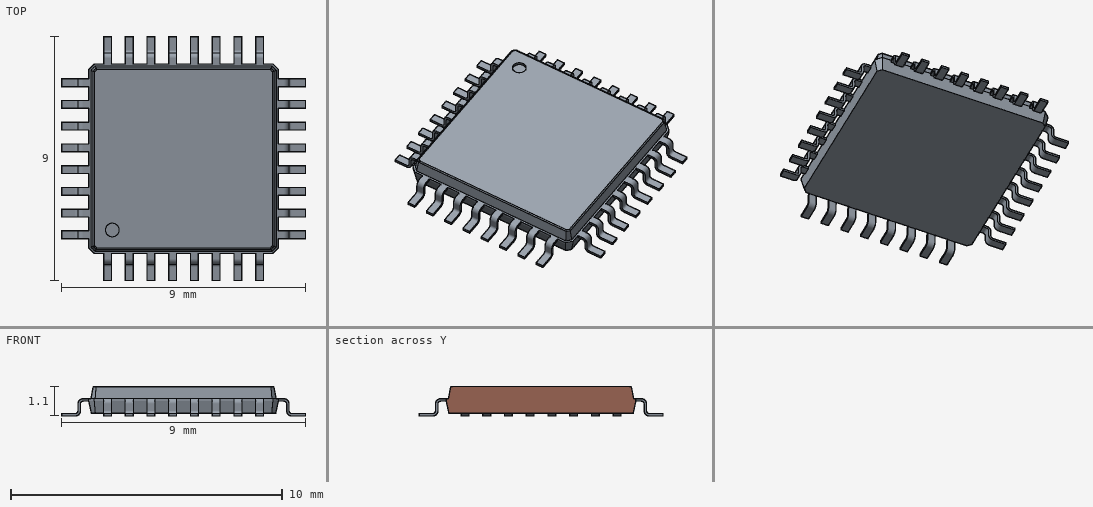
import cadquery as cq

overall_span = 9.0
overall_height = 1.1

body_width = 7.0
corner_chamfer = 0.21
standoff = 0.1
ledge_width = 0.08
upper_draft_inset = 0.08
lower_draft_inset = 0.1
top_bevel_width = 0.05
top_bevel_height = 0.03

leads_per_side = 8
lead_pitch = 0.8
lead_width = 0.3
lead_thickness = 0.1
lead_top = 0.65
foot_length = 0.5
bend_inner_radius = 0.1
lead_embed = 0.18

marker_diameter = 0.5
marker_depth = 0.1
marker_offset = 2.63

band_bottom = lead_top - lead_thickness
corner_shrink = 2 - 2**0.5


def body_outline(inset, z):
    """Closed wire of the chamfered square, offset inward evenly, at height z."""
    half = body_width / 2 - inset
    flat = half - (corner_chamfer - corner_shrink * inset)
    points = [
        (half, -flat),
        (half, flat),
        (flat, half),
        (-flat, half),
        (-half, flat),
        (-half, -flat),
        (-flat, -half),
        (flat, -half),
    ]
    return cq.Workplane("XY", origin=(0, 0, z)).polyline(points).close().val()


def body_section(bottom_inset, bottom_z, top_inset, top_z):
    """Straight-sided block between two body outlines."""
    outlines = [body_outline(bottom_inset, bottom_z), body_outline(top_inset, top_z)]
    return cq.Workplane(cq.Solid.makeLoft(outlines, True))


def make_body():
    bevel_bottom = overall_height - top_bevel_height
    top_inset = ledge_width + upper_draft_inset
    lower = body_section(lower_draft_inset, standoff, 0, band_bottom)
    band = body_section(0, band_bottom, 0, lead_top)
    upper = body_section(ledge_width, lead_top, top_inset, bevel_bottom)
    bevel = body_section(top_inset, bevel_bottom, top_inset + top_bevel_width, overall_height)
    return lower.union(band).union(upper).union(bevel)


def make_lead():
    """One lead on the +X side, centred on Y = 0."""
    tip = overall_span / 2
    root = body_width / 2 - lead_embed
    bend_outer_radius = bend_inner_radius + lead_thickness
    foot_bend = tip - foot_length
    wall_outside = foot_bend - bend_inner_radius
    wall_inside = wall_outside - lead_thickness
    shoulder_bend = wall_inside - bend_inner_radius
    foot_bend_top = lead_thickness + bend_inner_radius
    shoulder_bend_bottom = band_bottom - bend_inner_radius
    return (
        cq.Workplane("XZ")
        .moveTo(tip, 0)
        .lineTo(tip, lead_thickness)
        .lineTo(foot_bend, lead_thickness)
        .radiusArc((wall_outside, foot_bend_top), bend_inner_radius)
        .lineTo(wall_outside, shoulder_bend_bottom)
        .radiusArc((shoulder_bend, lead_top), -bend_outer_radius)
        .lineTo(root, lead_top)
        .lineTo(root, band_bottom)
        .lineTo(shoulder_bend, band_bottom)
        .radiusArc((wall_inside, shoulder_bend_bottom), bend_inner_radius)
        .lineTo(wall_inside, foot_bend_top)
        .radiusArc((foot_bend, 0), -bend_outer_radius)
        .close()
        .extrude(lead_width / 2, both=True)
    )


def make_marker():
    """Cutter for the round recess near the pin 1 corner."""
    return (
        cq.Workplane("XY", origin=(-marker_offset, -marker_offset, overall_height))
        .circle(marker_diameter / 2)
        .extrude(-marker_depth)
    )


result = make_body().cut(make_marker())

lead = make_lead()
first_lead_y = -lead_pitch * (leads_per_side - 1) / 2
for angle in (0, 90, 180, 270):
    for index in range(leads_per_side):
        placed_lead = lead.translate((0, first_lead_y + index * lead_pitch, 0))
        result = result.union(placed_lead.rotate((0, 0, 0), (0, 0, 1), angle))